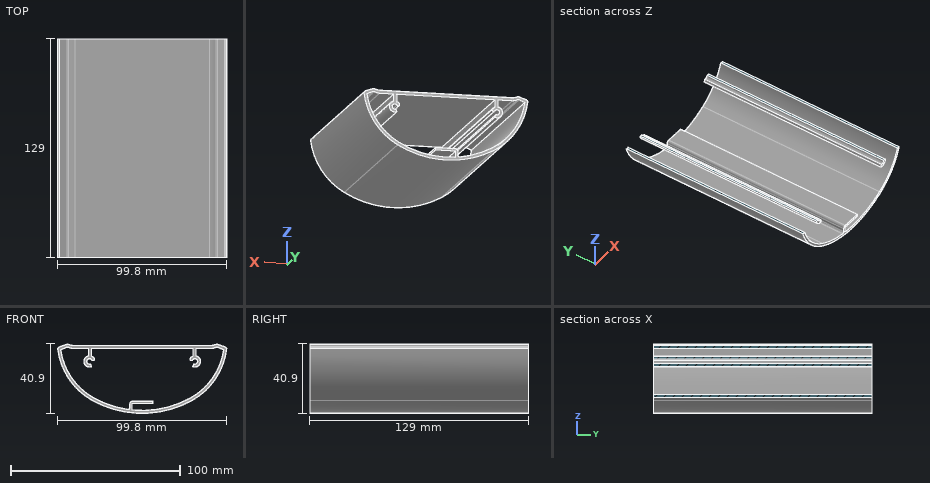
import cadquery as cq
import math

LENGTH = 129.0
WIDTH = 99.8
HEIGHT = 40.9
WALL = 1.8
PLATE = 1.9

BOTTOM_RADIUS = 60.6
JOIN_ANGLE = 29.0
SIDE_END_ANGLE = 83.5
INNER_END_ANGLE = 82.0

HALF_WIDTH = WIDTH / 2
JOIN_SINE = math.sin(math.radians(JOIN_ANGLE))
END_SINE = math.sin(math.radians(SIDE_END_ANGLE))
SIDE_RADIUS = (HALF_WIDTH - BOTTOM_RADIUS * JOIN_SINE) / (END_SINE - JOIN_SINE)

PLATE_TOP = 40.1
PLATE_BOTTOM = PLATE_TOP - PLATE
CORNER_TOP = 39.3
CORNER_BEVEL = 1.0
RIDGE_OUTER = 44.5
RIDGE_INNER = 43.6
CREST_RISE = 0.08
VALLEY_SAG = 0.18
RIDGE_EDGE = HEIGHT - CREST_RISE
PLATE_HALF_WIDTH = 39.7
INNER_PLATE_HALF_WIDTH = 40.4

STEM_X = 30.8
HOOK_X = 31.1
HOOK_Z = 30.7
HOOK_OUTER_RADIUS = 3.4
HOOK_INNER_RADIUS = 1.5
HOOK_UPPER_END = 33.0
HOOK_LOWER_END = -67.0

RAIL_LEFT = -7.4
RAIL_RIGHT = 6.3
RAIL_TOP = 7.2
RAIL_WALL = 1.4
RAIL_CORNER_RADIUS = 1.5
RAIL_FOOT_FILLET = 1.0


def polar(centre, radius, degrees):
    """Point at an angle from +X around a centre."""
    angle = math.radians(degrees)
    return (centre[0] + radius * math.cos(angle), centre[1] + radius * math.sin(angle))


def mirrored(point):
    return (-point[0], point[1])


def raised_middle(start, end, rise):
    """Middle of an arc between two points, raised by `rise` along Z above the chord."""
    return ((start[0] + end[0]) / 2, (start[1] + end[1]) / 2 + rise)


def extrude(sketch):
    return sketch.extrude(LENGTH / 2, both=True)


def section():
    return cq.Workplane("XZ")


def closed_outline(inset, end_angle, upper_points):
    """Solid D-shape whose shell arcs are inset from the outer surface.

    upper_points run along the right half of the top: any edge corners, the two edges
    of the rounded crest, then the start of the flat.
    """
    bottom_centre = (0, BOTTOM_RADIUS)
    side_centre = polar(bottom_centre, BOTTOM_RADIUS - SIDE_RADIUS, JOIN_ANGLE - 90)
    side_radius = SIDE_RADIUS - inset
    join = polar(side_centre, side_radius, JOIN_ANGLE - 90)
    side_middle = polar(side_centre, side_radius, (JOIN_ANGLE + end_angle) / 2 - 90)
    side_end = polar(side_centre, side_radius, end_angle - 90)
    *corners, crest_outer, crest_inner, flat = upper_points
    crest_middle = raised_middle(crest_outer, crest_inner, CREST_RISE)
    valley_middle = raised_middle(crest_inner, flat, -VALLEY_SAG)

    outline = section().moveTo(*mirrored(join))
    outline = outline.threePointArc((0, inset), join).threePointArc(side_middle, side_end)
    for point in corners + [crest_outer]:
        outline = outline.lineTo(*point)
    outline = outline.threePointArc(crest_middle, crest_inner).threePointArc(valley_middle, flat)
    outline = outline.lineTo(*mirrored(flat))
    outline = outline.threePointArc(mirrored(valley_middle), mirrored(crest_inner))
    outline = outline.threePointArc(mirrored(crest_middle), mirrored(crest_outer))
    for point in reversed([side_end] + corners):
        outline = outline.lineTo(*mirrored(point))
    outline = outline.threePointArc(mirrored(side_middle), mirrored(join))
    return extrude(outline.close())


def shell():
    outer_top = [
        (HALF_WIDTH - CORNER_BEVEL, CORNER_TOP),
        (RIDGE_OUTER, RIDGE_EDGE),
        (RIDGE_INNER, RIDGE_EDGE),
        (PLATE_HALF_WIDTH, PLATE_TOP),
    ]
    inner_top = [
        (RIDGE_OUTER, RIDGE_EDGE - WALL),
        (RIDGE_INNER, RIDGE_EDGE - WALL),
        (INNER_PLATE_HALF_WIDTH, PLATE_BOTTOM),
    ]
    outer = closed_outline(0, SIDE_END_ANGLE, outer_top)
    return outer.cut(closed_outline(WALL, INNER_END_ANGLE, inner_top))


def hook():
    """Hook on the left side, open towards the centre plane."""
    centre = (-HOOK_X, HOOK_Z)
    middle_radius = (HOOK_OUTER_RADIUS + HOOK_INNER_RADIUS) / 2
    opposite = (HOOK_UPPER_END + HOOK_LOWER_END) / 2 + 180
    tip_centre = polar(centre, middle_radius, HOOK_UPPER_END)
    tip = polar(tip_centre, HOOK_OUTER_RADIUS - middle_radius, HOOK_UPPER_END - 90)
    ring = (
        section()
        .moveTo(*polar(centre, HOOK_OUTER_RADIUS, HOOK_LOWER_END))
        .threePointArc(polar(centre, HOOK_OUTER_RADIUS, opposite),
                       polar(centre, HOOK_OUTER_RADIUS, HOOK_UPPER_END))
        .threePointArc(tip, polar(centre, HOOK_INNER_RADIUS, HOOK_UPPER_END))
        .threePointArc(polar(centre, HOOK_INNER_RADIUS, opposite),
                       polar(centre, HOOK_INNER_RADIUS, HOOK_LOWER_END))
        .close()
    )
    stem_bottom = HOOK_Z + middle_radius
    stem_top = PLATE_TOP - PLATE / 2
    stem = (
        section()
        .center(-STEM_X, (stem_bottom + stem_top) / 2)
        .rect(PLATE, stem_top - stem_bottom)
    )
    return extrude(ring).union(extrude(stem))


def shell_inner_height(x):
    """Height of the inner face of the bottom arc at x."""
    return BOTTOM_RADIUS - math.sqrt((BOTTOM_RADIUS - WALL) ** 2 - x ** 2)


def rail():
    """L-shaped rail with a fillet where its outer side meets the shell."""
    foot = WALL / 2
    rail_inner = RAIL_LEFT + RAIL_WALL
    foot_edge = RAIL_LEFT - RAIL_FOOT_FILLET
    foot_top = shell_inner_height(foot_edge)
    outline = (
        section()
        .moveTo(foot_edge, foot)
        .lineTo(foot_edge, foot_top)
        .radiusArc((RAIL_LEFT, foot_top + RAIL_FOOT_FILLET), -RAIL_FOOT_FILLET)
        .lineTo(RAIL_LEFT, RAIL_TOP - RAIL_CORNER_RADIUS)
        .radiusArc((RAIL_LEFT + RAIL_CORNER_RADIUS, RAIL_TOP), RAIL_CORNER_RADIUS)
        .lineTo(RAIL_RIGHT, RAIL_TOP)
        .lineTo(RAIL_RIGHT, RAIL_TOP - RAIL_WALL)
        .lineTo(rail_inner, RAIL_TOP - RAIL_WALL)
        .lineTo(rail_inner, foot)
        .close()
    )
    return extrude(outline)


left_hook = hook()
result = shell().union(left_hook).union(left_hook.mirror("YZ")).union(rail())